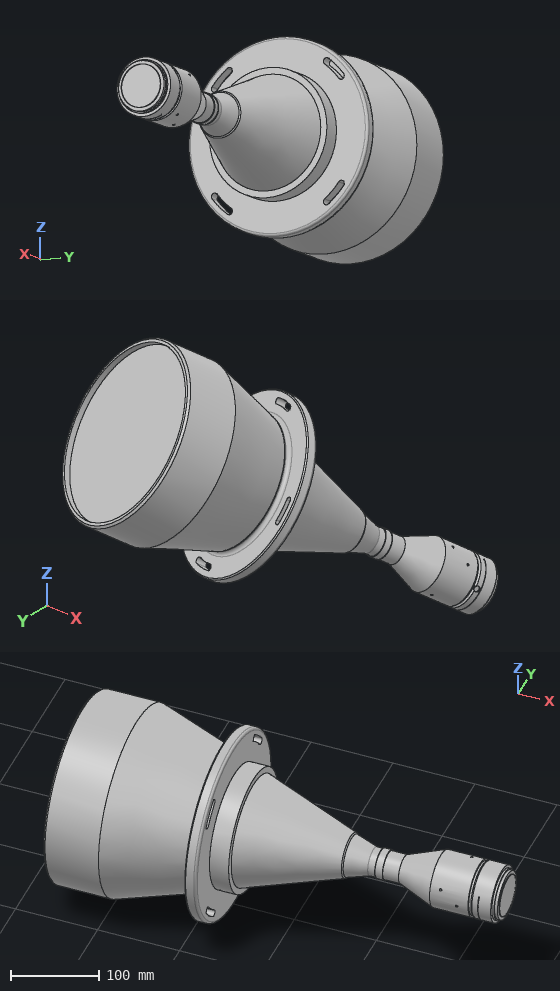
import cadquery as cq
import math

length = 521.0
barrel_radius = 115.0

barrel_end = 67.5
barrel_chamfer = 2.5
lens_radius = 109.0
lens_depth = 8.0
lens_bulge = 2.5

neck_start = 165.5
neck_radius = 84.0
neck_dip = 1.0
flange_start = 172.5
flange_end = 187.0
flange_front_chamfer = 1.5
flange_rear_round = 3.0
neck_fillet = 4.5

slot_count = 4
slot_first_angle = 45.0
slot_pitch_radius = 102.0
slot_span = 15.0
slot_width = 8.0

hub_end = 210.5
hub_radius = 75.0
rear_cone_radius = 67.0
rear_cone_end = 328.5
rear_cone_end_radius = 27.0
tail_cone_start = 330.5
tail_cone_radius = 25.5

waist_start = 357.0
waist_end = 394.5
waist_radius = 17.0
ring_start = 365.5
ring_end = 375.0
ring_radius = 18.0

grip_start = 439.0
grip_radius = 34.5
groove_start = 486.0
groove_end = 488.5
groove_radius = 32.5
grip_end = 513.5
tail_step_ends = [516.0, 520.0, length]
tail_step_radii = [30.5, 29.0, 25.0]

set_screw_count = 3
set_screw_diameter = 2.5
set_screw_depth = 4.0
set_screw_rings = [(451.5, 40.0), (472.0, 68.0)]

clamp_angle = 225.0
clamp_hole_position = 493.5
clamp_hole_diameter = 7.5
clamp_hole_depth = 2.0
slit_position = 498.0
slit_width = 0.5
slit_depth = 2.5
slit_span = 140.0


def turned_body():
    """Revolve the half outline (X along the axis, Y as radius) about X."""
    fillet_start = flange_start - neck_fillet
    fillet_bend = neck_fillet * (1 - math.sqrt(0.5))
    round_bend = flange_rear_round * (1 - math.sqrt(0.5))
    bulge_chord = math.hypot(lens_radius, lens_bulge)
    dome_radius = bulge_chord ** 2 / (2 * lens_bulge)
    mid_radius = lens_radius / 2
    mid_sag = dome_radius - math.sqrt(dome_radius ** 2 - mid_radius ** 2)
    dome_tip = lens_depth - lens_bulge

    outline = (
        cq.Workplane("XY")
        .moveTo(dome_tip, 0)
        .threePointArc((dome_tip + mid_sag, mid_radius), (lens_depth, lens_radius))
        .lineTo(0, lens_radius)
        .lineTo(0, barrel_radius - barrel_chamfer)
        .lineTo(barrel_chamfer, barrel_radius)
        .lineTo(barrel_end, barrel_radius)
        .lineTo(neck_start, neck_radius)
        .lineTo(neck_start, neck_radius - neck_dip)
        .lineTo(fillet_start, neck_radius - neck_dip)
        .threePointArc(
            (flange_start - fillet_bend, neck_radius - neck_dip + fillet_bend),
            (flange_start, neck_radius - neck_dip + neck_fillet),
        )
        .lineTo(flange_start, barrel_radius - flange_front_chamfer)
        .lineTo(flange_start + flange_front_chamfer, barrel_radius)
        .lineTo(flange_end - flange_rear_round, barrel_radius)
        .threePointArc(
            (flange_end - round_bend, barrel_radius - round_bend),
            (flange_end, barrel_radius - flange_rear_round),
        )
        .lineTo(flange_end, hub_radius)
        .lineTo(hub_end, hub_radius)
        .lineTo(hub_end, rear_cone_radius)
        .lineTo(rear_cone_end, rear_cone_end_radius)
        .lineTo(tail_cone_start, tail_cone_radius)
        .lineTo(waist_start, waist_radius)
        .lineTo(ring_start, waist_radius)
        .lineTo(ring_start, ring_radius)
        .lineTo(ring_end, ring_radius)
        .lineTo(ring_end, waist_radius)
        .lineTo(waist_end, waist_radius)
        .lineTo(grip_start, grip_radius)
        .lineTo(groove_start, grip_radius)
        .lineTo(groove_start, groove_radius)
        .lineTo(groove_end, groove_radius)
        .lineTo(groove_end + grip_radius - groove_radius, grip_radius)
        .lineTo(grip_end, grip_radius)
    )
    step_start = grip_end
    for step_end, step_radius in zip(tail_step_ends, tail_step_radii):
        outline = outline.lineTo(step_start, step_radius).lineTo(step_end, step_radius)
        step_start = step_end
    return outline.lineTo(length, 0).close().revolve(360, (0, 0, 0), (1, 0, 0))


def arc_band(inner_radius, outer_radius, start, width, middle_angle, span):
    """Part of a ring about X; angles are measured from +Y towards +Z."""
    band = (
        cq.Workplane("XY")
        .moveTo(start, inner_radius)
        .lineTo(start + width, inner_radius)
        .lineTo(start + width, outer_radius)
        .lineTo(start, outer_radius)
        .close()
        .revolve(span, (0, 0, 0), (1, 0, 0))
    )
    return band.rotate((0, 0, 0), (1, 0, 0), middle_angle - span / 2)


def radial_hole(position, angle, diameter, depth):
    """Blind hole cutter sunk into the grip towards the axis."""
    hole = (
        cq.Workplane("XZ", origin=(position, grip_radius - depth, 0))
        .circle(diameter / 2)
        .extrude(-2 * depth)
    )
    return hole.rotate((0, 0, 0), (1, 0, 0), angle)


def flange_slot(angle):
    """Curved slot with rounded ends, cut through the flange."""
    thickness = flange_end - flange_start
    slot = arc_band(
        slot_pitch_radius - slot_width / 2, slot_pitch_radius + slot_width / 2,
        flange_start, thickness, angle, slot_span,
    )
    for end_angle in (angle - slot_span / 2, angle + slot_span / 2):
        slot_end = (
            cq.Workplane("YZ", origin=(flange_start, 0, 0))
            .center(
                slot_pitch_radius * math.cos(math.radians(end_angle)),
                slot_pitch_radius * math.sin(math.radians(end_angle)),
            )
            .circle(slot_width / 2)
            .extrude(thickness)
        )
        slot = slot.union(slot_end)
    return slot


result = turned_body()

for index in range(slot_count):
    result = result.cut(flange_slot(slot_first_angle + index * 360 / slot_count))

for ring_position, first_angle in set_screw_rings:
    for index in range(set_screw_count):
        hole_angle = first_angle + index * 360 / set_screw_count
        result = result.cut(
            radial_hole(ring_position, hole_angle, set_screw_diameter, set_screw_depth)
        )

result = result.cut(
    radial_hole(clamp_hole_position, clamp_angle, clamp_hole_diameter, clamp_hole_depth)
)
clamp_slit = arc_band(
    grip_radius - slit_depth, grip_radius + slit_depth,
    slit_position - slit_width / 2, slit_width, clamp_angle, slit_span,
)
result = result.cut(clamp_slit)